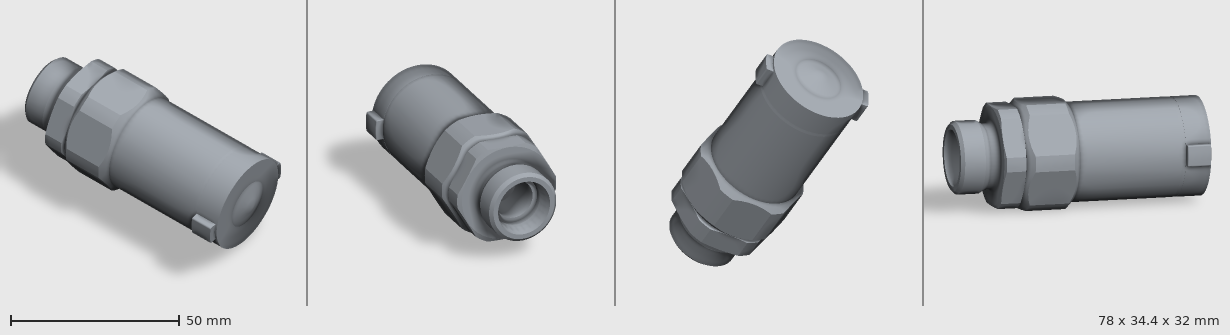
import cadquery as cq
import math


thread_end = 7.4
neck_start = 9.35
flange_start = 12.0
joint_x = 18.8

thread_radius = 11.0
neck_radius = 9.8
thread_chamfer = 1.0
neck_fillet = 1.1

mouth_radius = 8.5
socket_radius = 7.5
bore_radius = 6.0
socket_depth = 7.0
mouth_depth = 5.15

flange_flats = 30.0
flange_corner_radius = 16.2
flange_face_radius = 14.8
flange_chamfer_length = 0.4

barrel_radius = 15.0
sleeve_flats = 32.0
sleeve_corner_radius = 17.2
sleeve_chamfer = sleeve_corner_radius - barrel_radius
hexagon_end = 35.5
barrel_taper_start = 67.0
barrel_end = 68.2
barrel_end_radius = 14.9

cap_end = 76.0
tip_x = 78.0
tip_half_angle = math.radians(75)
tip_base_radius = (tip_x - cap_end) * math.tan(tip_half_angle)
lug_outer_radius = 17.2
lug_width = 6.5
lug_length = 7.1
lug_side_fillet = 0.5
lug_front_fillet = 0.2


def revolve_about_x(profile):
    """Turn a closed (X, radius) outline drawn in the XY plane about the X axis."""
    return profile.close().revolve(360, (0, 0, 0), (1, 0, 0))


def cylinder_x(start, end, radius):
    return cq.Workplane("YZ").workplane(offset=start).circle(radius).extrude(end - start)


def hexagon_x(start, end, flats):
    """Hexagonal prism along X with two flats facing up and down."""
    corner_diameter = flats / math.cos(math.pi / 6)
    return (
        cq.Workplane("YZ").workplane(offset=start)
        .polygon(6, corner_diameter).extrude(end - start)
    )


def turned_hexagon(start, end, flats, corner_radius, face_radius, chamfer_length):
    """Hexagonal prism with its corners turned round and chamfered at both ends."""
    envelope = revolve_about_x(
        cq.Workplane("XY")
        .moveTo(start, 0)
        .lineTo(start, face_radius)
        .lineTo(start + chamfer_length, corner_radius)
        .lineTo(end - chamfer_length, corner_radius)
        .lineTo(end, face_radius)
        .lineTo(end, 0)
    )
    return hexagon_x(start, end, flats).intersect(envelope)


def make_fitting():
    fillet_start = flange_start - neck_fillet
    fillet_reach = neck_fillet * math.sin(math.pi / 4)
    stub = revolve_about_x(
        cq.Workplane("XY")
        .moveTo(0, 0)
        .lineTo(0, thread_radius - thread_chamfer)
        .lineTo(thread_chamfer, thread_radius)
        .lineTo(thread_end, thread_radius)
        .lineTo(neck_start, neck_radius)
        .lineTo(fillet_start, neck_radius)
        .threePointArc(
            (fillet_start + fillet_reach, neck_radius + neck_fillet - fillet_reach),
            (flange_start, neck_radius + neck_fillet),
        )
        .lineTo(flange_start, 0)
    )
    flange = turned_hexagon(
        flange_start, joint_x, flange_flats,
        flange_corner_radius, flange_face_radius, flange_chamfer_length,
    )
    socket = revolve_about_x(
        cq.Workplane("XY")
        .moveTo(0, 0)
        .lineTo(0, mouth_radius)
        .lineTo(mouth_depth, socket_radius)
        .lineTo(socket_depth, socket_radius)
        .lineTo(socket_depth, bore_radius)
        .lineTo(joint_x, bore_radius)
        .lineTo(joint_x, 0)
    )
    return stub.union(flange).cut(socket)


def make_sleeve():
    hexagon = turned_hexagon(
        joint_x, hexagon_end, sleeve_flats,
        sleeve_corner_radius, barrel_radius, sleeve_chamfer,
    )
    barrel = revolve_about_x(
        cq.Workplane("XY")
        .moveTo(joint_x, 0)
        .lineTo(joint_x, barrel_radius)
        .lineTo(barrel_taper_start, barrel_radius)
        .lineTo(barrel_end, barrel_end_radius)
        .lineTo(barrel_end, 0)
    )
    return hexagon.union(barrel)


def make_lugs():
    """Bar across the cap whose two rounded ends stand out as lugs on the +Y and -Y sides."""
    lug_end = barrel_end + lug_length
    bar = (
        cq.Workplane("XY")
        .box(lug_length, 2 * lug_outer_radius, lug_width)
        .translate((barrel_end + lug_length / 2, 0, 0))
    )
    bar = bar.intersect(cylinder_x(barrel_end, lug_end, lug_outer_radius))
    bar = bar.edges("|X").fillet(lug_side_fillet)
    front_arcs = bar.faces("<X").edges("%CIRCLE").edges(">Y or <Y")
    return front_arcs.fillet(lug_front_fillet)


def make_end_cap():
    ring_and_tip = revolve_about_x(
        cq.Workplane("XY")
        .moveTo(barrel_end, 0)
        .lineTo(barrel_end, barrel_radius)
        .lineTo(cap_end, barrel_radius)
        .lineTo(cap_end, tip_base_radius)
        .lineTo(tip_x, 0)
    )
    return ring_and_tip.union(make_lugs())


fitting = make_fitting()
sleeve = make_sleeve()
end_cap = make_end_cap()

result = cq.Compound.makeCompound([fitting.val(), sleeve.val(), end_cap.val()])